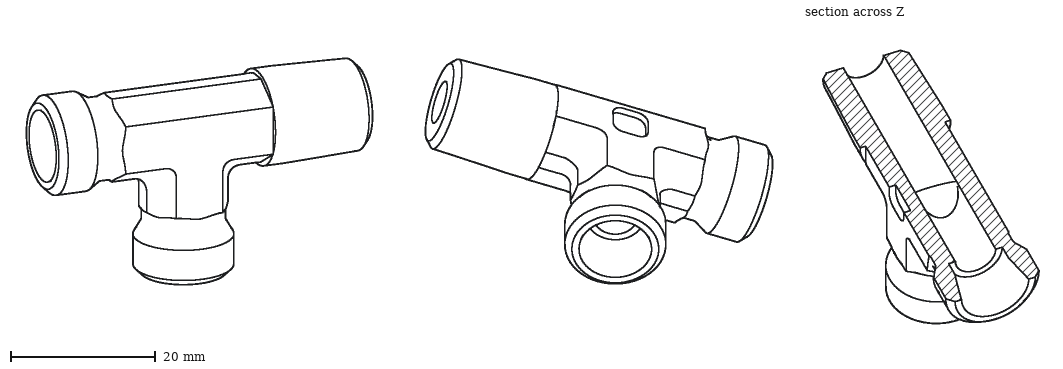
import cadquery as cq
import math

total_length = 47.0
port_reach = 21.0
stud_reach = total_length - port_reach

across_flats = 12.0
across_trimmed = 12.15
hex_corner_radius = across_flats / math.sqrt(3)
inner_corner_radius = 1.95

port_diameter = 14.0
port_radius = port_diameter / 2
port_chamfer = 1.0
port_thread_length = 5.4
neck_radius = 11.7 / 2
neck_length = 9.0
flare_radius = 1.0
neck_cone_angle = math.radians(30)
cone_blend_radius = 1.0

bore_radius = 6.0 / 2
socket_radius = 8.0 / 2
socket_depth = 7.0
mouth_radius = 10.05 / 2
mouth_angle = math.radians(12)

stud_radius = 13.65 / 2
stud_length = 15.0
stud_taper_length = 12.0
stud_chamfer = 0.9
stud_taper = 1 / 32

recess_size = 5.15
recess_corner_radius = 1.5
recess_depth = 1.0


def point_to_run(shape):
    """Swing a shape built along the -Z branch axis round to the -Y run axis."""
    return shape.rotate((0, 0, 0), (1, 0, 0), -90)


def revolve_about_z(profile):
    return profile.close().revolve(360, (0, 0, 0), (0, 1, 0))


def hex_bar(start_z, end_z):
    """Hexagon bar along Z with flat sides facing +X and -X."""
    return (
        cq.Workplane("XY", origin=(0, 0, start_z))
        .polygon(6, 2 * hex_corner_radius)
        .extrude(end_z - start_z)
        .rotate((0, 0, 0), (0, 0, 1), 30)
    )


def body():
    """Tee of two hexagon bars, rounded at the inner corners and cut flat along the outer ridges."""
    bar_end = port_reach - neck_length
    run_back = stud_reach - stud_length
    half = across_trimmed / 2

    tee = point_to_run(hex_bar(-bar_end, run_back)).union(hex_bar(-bar_end, 0))
    crossing_zone = cq.selectors.BoxSelector(
        (-hex_corner_radius, -hex_corner_radius, -hex_corner_radius),
        (hex_corner_radius, hex_corner_radius, 0),
    )
    mitres = tee.edges(crossing_zone).edges("not(|X or |Y or |Z)")
    tee = mitres.fillet(inner_corner_radius)

    arc_end = half + inner_corner_radius
    trim = (
        cq.Workplane("YZ")
        .moveTo(-bar_end, half)
        .lineTo(run_back, half)
        .lineTo(run_back, -half)
        .lineTo(arc_end, -half)
        .radiusArc((half, -arc_end), -inner_corner_radius)
        .lineTo(half, -bar_end)
        .lineTo(-half, -bar_end)
        .lineTo(-half, -arc_end)
        .radiusArc((-arc_end, -half), -inner_corner_radius)
        .lineTo(-bar_end, -half)
        .close()
        .extrude(across_flats / 2, both=True)
    )
    return tee.intersect(trim)


def neck_relief():
    """Ring that turns the end of the branch bar down to the neck, leaving a concave flare."""
    neck_z = neck_length - port_reach
    outside = hex_corner_radius + flare_radius
    ring = (
        cq.Workplane("XZ")
        .moveTo(neck_radius, neck_z)
        .radiusArc((neck_radius + flare_radius, neck_z + flare_radius), flare_radius)
        .lineTo(outside, neck_z + flare_radius)
        .lineTo(outside, neck_z - flare_radius)
        .lineTo(neck_radius, neck_z - flare_radius)
    )
    return revolve_about_z(ring)


def port():
    """Neck, blended cone and chamfered thread cylinder at the branch end."""
    end_z = -port_reach
    cone_end_z = end_z + port_thread_length
    cone_start_z = cone_end_z + (port_radius - neck_radius) / math.tan(neck_cone_angle)
    blend = cone_blend_radius * math.tan(neck_cone_angle / 2)
    blend_end = (
        neck_radius + blend * math.sin(neck_cone_angle),
        cone_start_z - blend * math.cos(neck_cone_angle),
    )
    profile = (
        cq.Workplane("XZ")
        .moveTo(0, -across_trimmed / 2)
        .lineTo(neck_radius, -across_trimmed / 2)
        .lineTo(neck_radius, cone_start_z + blend)
        .radiusArc(blend_end, -cone_blend_radius)
        .lineTo(port_radius, cone_end_z)
        .lineTo(port_radius, end_z + port_chamfer)
        .lineTo(port_radius - port_chamfer, end_z)
        .lineTo(0, end_z)
    )
    return revolve_about_z(profile)


def port_bore():
    """Conical mouth, tube socket and flow bore reaching the crossing of the axes."""
    end_z = -port_reach
    mouth_depth = (mouth_radius - socket_radius) / math.tan(mouth_angle)
    profile = (
        cq.Workplane("XZ")
        .lineTo(bore_radius, 0)
        .lineTo(bore_radius, end_z + socket_depth)
        .lineTo(socket_radius, end_z + socket_depth)
        .lineTo(socket_radius, end_z + mouth_depth)
        .lineTo(mouth_radius, end_z)
        .lineTo(0, end_z)
    )
    return revolve_about_z(profile)


def stud():
    """Collar and chamfered taper at the +Y end of the run."""
    end_z = stud_reach
    small_radius = stud_radius - (stud_taper_length - stud_chamfer) * stud_taper
    profile = (
        cq.Workplane("XZ")
        .moveTo(0, end_z - stud_length)
        .lineTo(stud_radius, end_z - stud_length)
        .lineTo(stud_radius, end_z - stud_taper_length)
        .lineTo(small_radius, end_z - stud_chamfer)
        .lineTo(small_radius - stud_chamfer, end_z)
        .lineTo(0, end_z)
    )
    return point_to_run(revolve_about_z(profile))


def stud_bore():
    return point_to_run(cq.Workplane("XY").circle(bore_radius).extrude(stud_reach))


def marking_recess():
    """Shallow rounded square sunk into the -X face."""
    return (
        cq.Workplane("YZ", origin=(-across_flats / 2, 0, 0))
        .rect(recess_size, recess_size)
        .extrude(recess_depth)
        .edges("|X")
        .fillet(recess_corner_radius)
    )


result = body()
result = result.cut(neck_relief()).cut(point_to_run(neck_relief()))
result = result.union(port()).union(point_to_run(port())).union(stud())
result = result.cut(port_bore()).cut(point_to_run(port_bore())).cut(stud_bore())
result = result.cut(marking_recess())